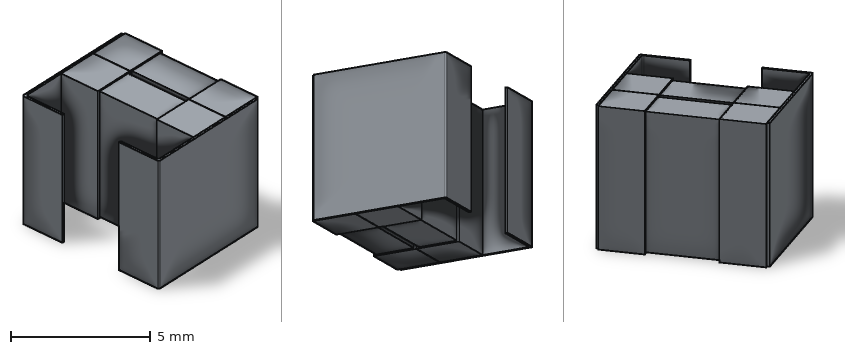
import cadquery as cq

overall_length = 6.5
overall_depth = 5.5
height = 5.5

sheet_thickness = 0.1
terminal_depth = 5.4
foot_length = 1.9
bend_outer_radius = 0.07
bend_inner_radius = 0.07

chip_count = 2
chip_depth = 1.74
chip_gap = 0.015
end_cap_length = 1.75
waist_step_y = 0.095
waist_step_z = 0.05

chip_length = overall_length - 2 * sheet_thickness
waist_length = chip_length - 2 * end_cap_length
front_y = -overall_depth / 2
back_y = overall_depth / 2


def make_chip(index):
    """One chip: a slightly thinner waist between two end caps; index 0 is at the +Y side."""
    center_y = back_y - chip_depth / 2 - index * (chip_depth + chip_gap)
    chip = cq.Workplane("XY").box(waist_length, chip_depth - 2 * waist_step_y, height - 2 * waist_step_z)
    cap_center_x = (chip_length - end_cap_length) / 2
    for side in (-1, 1):
        end_cap = cq.Workplane("XY").box(end_cap_length, chip_depth, height)
        chip = chip.union(end_cap.translate((side * cap_center_x, 0, 0)))
    return chip.translate((0, center_y, 0))


def make_terminal(side):
    """L-shaped sheet on one end of the chips, with its foot bent inward; side is -1 or +1."""
    outer_x = side * overall_length / 2
    inner_x = outer_x - side * sheet_thickness
    foot_tip_x = outer_x - side * foot_length
    wall_top_y = front_y + terminal_depth
    foot_inner_y = front_y + sheet_thickness
    terminal = (
        cq.Workplane("XY")
        .workplane(offset=-height / 2)
        .moveTo(outer_x, wall_top_y)
        .lineTo(outer_x, front_y)
        .lineTo(foot_tip_x, front_y)
        .lineTo(foot_tip_x, foot_inner_y)
        .lineTo(inner_x, foot_inner_y)
        .lineTo(inner_x, wall_top_y)
        .close()
        .extrude(height)
    )
    outer_corner = cq.selectors.NearestToPointSelector((outer_x, front_y, 0))
    inner_corner = cq.selectors.NearestToPointSelector((inner_x, foot_inner_y, 0))
    terminal = terminal.edges("|Z").edges(inner_corner).fillet(bend_inner_radius)
    return terminal.edges("|Z").edges(outer_corner).fillet(bend_outer_radius)


chips = [make_chip(index) for index in range(chip_count)]
terminals = [make_terminal(side) for side in (-1, 1)]

result = cq.Compound.makeCompound([body.val() for body in chips + terminals])